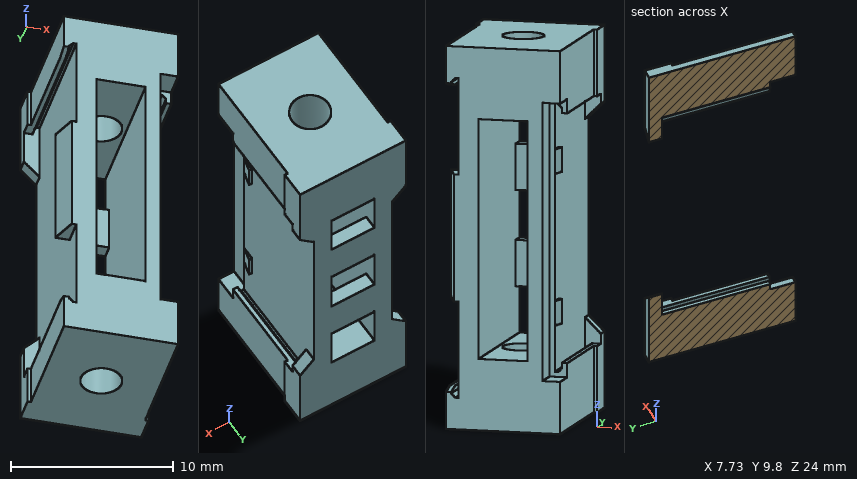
import cadquery as cq

height = 24.0
depth = 9.8
flange_width = 7.73
cap_width = 7.3
core_width = 5.7
flange_depth = 1.78

front = -depth / 2
back = depth / 2
top = height / 2
flange_x = flange_width / 2
cap_x = cap_width / 2
core_x = core_width / 2

ear_depth = 0.9
ear_start_z = 7.2
ear_tip_z = 6.22
lip_x = 3.3
groove_floor_x = 3.05
groove_height = 0.58
lip_height = 0.3
left_pocket_z = 9.43
right_pocket_z = 7.82

lead_in_length = 0.86
lead_in_rise = 0.25

step_x = 2.52
step_z = 8.7
step_depth = 1.68

tab_z = 3.98
tab_depth = 1.63
tab_back_x = 3.77
tab_front_x = 3.15
nub_x = 3.07
nub_top_z = 5.52
nub_depth = 0.95

cavity_width = 3.12
cavity_height = 15.02
back_wall = 0.95
bar_outer_z = 4.46
bar_inner_z = 1.55
hole_diameter = 2.6
hole_y = -0.07


def box(x0, x1, y0, y1, z0, z1):
    """Box given by its limits along each axis."""
    return cq.Workplane("XY").box(x1 - x0, y1 - y0, z1 - z0, centered=False).translate((x0, y0, z0))


def prism_along_y(points, y0, y1):
    """Extrude an XZ outline from y0 to y1."""
    return cq.Workplane("XZ", origin=(0, y0, 0)).polyline(points).close().extrude(y0 - y1)


def prism_along_z(points, z0, z1):
    """Extrude an XY outline from z0 to z1."""
    return cq.Workplane("XY", origin=(0, 0, z0)).polyline(points).close().extrude(z1 - z0)


def symmetric_outline(half):
    """Complete an upper XZ outline with its mirror image below Z = 0."""
    return half + [(x, -z) for x, z in reversed(half)]


def side_pocket(side, pocket_z):
    """Side recess with an undercut groove at both ends; side is -1 or 1."""
    half = [
        (side * core_x, pocket_z + groove_height),
        (side * groove_floor_x, pocket_z + groove_height),
        (side * lip_x, pocket_z + lip_height),
        (side * lip_x, pocket_z),
        (side * flange_width, pocket_z),
    ]
    return prism_along_y(symmetric_outline(half), front, back - ear_depth)


def ear_gap(side):
    """Opening between the bevelled ears at the back of one side."""
    overshoot = ear_start_z - ear_tip_z
    half = [
        (side * core_x, ear_tip_z),
        (side * flange_x, ear_start_z),
        (side * (flange_x + overshoot), ear_start_z),
    ]
    return prism_along_y(symmetric_outline(half), back - ear_depth, back)


def lead_in():
    """Flared mouth of the left pocket."""
    half = [(front, left_pocket_z + lead_in_rise), (front + lead_in_length, left_pocket_z)]
    outline = symmetric_outline(half)
    mouth = cq.Workplane("YZ", origin=(-flange_x, 0, 0)).polyline(outline).close()
    return mouth.extrude(flange_x - lip_x)


body = box(-cap_x, cap_x, front, back, -top, top)
body = body.union(box(-flange_x, flange_x, back - flange_depth, back, -top, top))

body = body.cut(side_pocket(-1, left_pocket_z)).cut(side_pocket(1, right_pocket_z))
body = body.cut(ear_gap(-1)).cut(ear_gap(1))
body = body.cut(lead_in())
body = body.cut(box(step_x, flange_x, front, front + step_depth, -step_z, step_z))

tab_outline = [
    (-core_x, front),
    (-tab_front_x, front),
    (-tab_back_x, front + tab_depth),
    (-core_x, front + tab_depth),
]
body = body.union(prism_along_z(tab_outline, -tab_z, tab_z))

nub_start = front + step_depth
nub_outline = [(core_x, nub_start), (nub_x, nub_start + nub_depth), (core_x, nub_start + nub_depth)]
for z0, z1 in ((tab_z, nub_top_z), (-nub_top_z, -tab_z)):
    body = body.union(prism_along_z(nub_outline, z0, z1))

cavity_x = cavity_width / 2
cavity_z = cavity_height / 2
body = body.cut(box(-cavity_x, cavity_x, front, back - back_wall, -cavity_z, cavity_z))
window_limits = (
    (bar_outer_z, cavity_z),
    (-bar_inner_z, bar_inner_z),
    (-cavity_z, -bar_outer_z),
)
for z0, z1 in window_limits:
    body = body.cut(box(-cavity_x, cavity_x, back - back_wall, back, z0, z1))

hole = cq.Workplane("XY", origin=(0, hole_y, -top)).circle(hole_diameter / 2).extrude(height)
result = body.cut(hole)